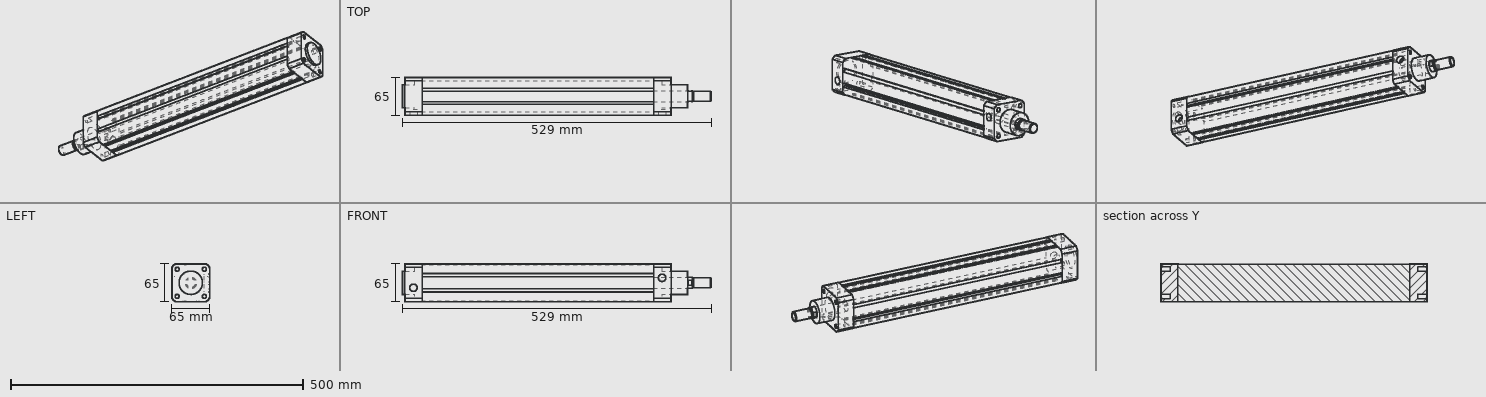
import cadquery as cq
import math

OVERALL_LENGTH = 529.0
BODY_WIDTH = 65.0

SPIGOT_LENGTH = 4.0
CAP_LENGTH = 29.5
COLLAR_DIAMETER = 40.0
COLLAR_LENGTH = 28.5
CAP_CORNER_RADIUS = 42.0
SCREW_SPACING = 46.5
SCREW_DIAMETER = 7.0
SCREW_DEPTH = 16.0
PORT_DIAMETER = 12.5
PORT_DEPTH = 10.5
PORT_OFFSET = 8.5
REAR_PORT_X = 19.0
FRONT_PORT_INSET = 15.5

BARREL_LENGTH = 397.0
BARREL_CORNER_RADIUS = 9.5
SIDE_GROOVE_INNER = 10.0
SIDE_GROOVE_OUTER = 16.5
SIDE_GROOVE_DEPTH = 6.0
SIDE_GROOVE_FLOOR_EDGE = 15.5
SIDE_GROOVE_ROUND = 5.0
TOP_GROOVE_INNER = 9.0
TOP_GROOVE_OUTER = 14.0
TOP_GROOVE_DEPTH = 1.5

ROD_DIAMETER = 19.5
FLATS_WIDTH = 17.5
FLATS_LENGTH = 6.0
FLATS_GAP = 1.0
NECK_LENGTH = 1.0
THREAD_DIAMETER = 17.5
THREAD_LENGTH = 31.0
THREAD_CHAMFER = 1.3

REAR_CAP_X = SPIGOT_LENGTH
BARREL_X = REAR_CAP_X + CAP_LENGTH
FRONT_CAP_X = BARREL_X + BARREL_LENGTH
FRONT_FACE_X = FRONT_CAP_X + CAP_LENGTH
COLLAR_END_X = FRONT_FACE_X + COLLAR_LENGTH
THREAD_X = OVERALL_LENGTH - THREAD_LENGTH
ROD_SHOULDER_X = THREAD_X - NECK_LENGTH
FLATS_X = COLLAR_END_X + FLATS_GAP

HALF_WIDTH = BODY_WIDTH / 2


def plane_at(x):
    """Plane normal to the cylinder axis: local x is Y, local y is Z."""
    return cq.Workplane("YZ", origin=(x, 0, 0))


def square_bar(x, length):
    return plane_at(x).rect(BODY_WIDTH, BODY_WIDTH).extrude(length)


def disc(x, length, diameter):
    return plane_at(x).circle(diameter / 2).extrude(length)


def cap_block(x, port_x, port_z):
    """Square cap with rounded corners and a blind port in its -Y side."""
    port = (
        cq.Workplane("XZ", origin=(port_x, -HALF_WIDTH, port_z))
        .circle(PORT_DIAMETER / 2)
        .extrude(-PORT_DEPTH)
    )
    turned_corners = disc(x, CAP_LENGTH, 2 * CAP_CORNER_RADIUS)
    return square_bar(x, CAP_LENGTH).intersect(turned_corners).cut(port)


def screw_holes(face_x, depth):
    """Four blind corner holes; a negative depth runs toward -X."""
    return (
        plane_at(face_x)
        .rect(SCREW_SPACING, SCREW_SPACING, forConstruction=True)
        .vertices()
        .circle(SCREW_DIAMETER / 2)
        .extrude(depth)
    )


def make_rear_cap():
    block = cap_block(REAR_CAP_X, REAR_PORT_X, -PORT_OFFSET)
    spigot = disc(0, SPIGOT_LENGTH, COLLAR_DIAMETER)
    return block.union(spigot).cut(screw_holes(REAR_CAP_X, SCREW_DEPTH))


def make_front_cap():
    block = cap_block(FRONT_CAP_X, FRONT_FACE_X - FRONT_PORT_INSET, PORT_OFFSET)
    collar = disc(FRONT_FACE_X, COLLAR_LENGTH, COLLAR_DIAMETER)
    rod_hole = disc(FRONT_CAP_X, CAP_LENGTH + COLLAR_LENGTH, ROD_DIAMETER)
    return block.union(collar).cut(rod_hole).cut(screw_holes(FRONT_FACE_X, -SCREW_DEPTH))


def side_groove():
    """Upper groove of the -Y side: rounded inner corner, slightly sloped outer wall."""
    floor_y = -HALF_WIDTH + SIDE_GROOVE_DEPTH
    round_y = floor_y - SIDE_GROOVE_ROUND
    round_end = SIDE_GROOVE_INNER + SIDE_GROOVE_ROUND
    diagonal = SIDE_GROOVE_ROUND * math.sqrt(0.5)
    return (
        plane_at(BARREL_X)
        .moveTo(-HALF_WIDTH, SIDE_GROOVE_INNER)
        .lineTo(round_y, SIDE_GROOVE_INNER)
        .threePointArc((round_y + diagonal, round_end - diagonal), (floor_y, round_end))
        .lineTo(floor_y, SIDE_GROOVE_FLOOR_EDGE)
        .lineTo(-HALF_WIDTH, SIDE_GROOVE_OUTER)
        .close()
        .extrude(BARREL_LENGTH)
    )


def top_groove():
    """Shallow rectangular groove of the top side, at +Y."""
    return (
        plane_at(BARREL_X)
        .moveTo(TOP_GROOVE_INNER, HALF_WIDTH - TOP_GROOVE_DEPTH)
        .lineTo(TOP_GROOVE_OUTER, HALF_WIDTH - TOP_GROOVE_DEPTH)
        .lineTo(TOP_GROOVE_OUTER, HALF_WIDTH)
        .lineTo(TOP_GROOVE_INNER, HALF_WIDTH)
        .close()
        .extrude(BARREL_LENGTH)
    )


def make_barrel():
    barrel = square_bar(BARREL_X, BARREL_LENGTH).edges("|X").fillet(BARREL_CORNER_RADIUS)
    for groove in (side_groove(), top_groove()):
        pair = groove.union(groove.mirror("XY"))
        barrel = barrel.cut(pair).cut(pair.mirror("XZ"))
    return barrel


def make_rod():
    """Stepped rod: plain length with two wrench flats, neck, and end chamfered at both ends."""
    neck_diameter = THREAD_DIAMETER - 2 * THREAD_CHAMFER
    thread = disc(THREAD_X, THREAD_LENGTH, THREAD_DIAMETER).faces("<X or >X").chamfer(THREAD_CHAMFER)
    rod = (
        disc(FRONT_CAP_X, ROD_SHOULDER_X - FRONT_CAP_X, ROD_DIAMETER)
        .union(disc(ROD_SHOULDER_X, NECK_LENGTH, neck_diameter))
        .union(thread)
    )
    for side in (-1, 1):
        flat = plane_at(FLATS_X).center(side * (FLATS_WIDTH + ROD_DIAMETER) / 2, 0)
        rod = rod.cut(flat.rect(ROD_DIAMETER, ROD_DIAMETER).extrude(FLATS_LENGTH))
    return rod


rear_cap = make_rear_cap()
barrel = make_barrel()
front_cap = make_front_cap()
rod = make_rod()

result = cq.Compound.makeCompound([rear_cap.val(), barrel.val(), front_cap.val(), rod.val()])